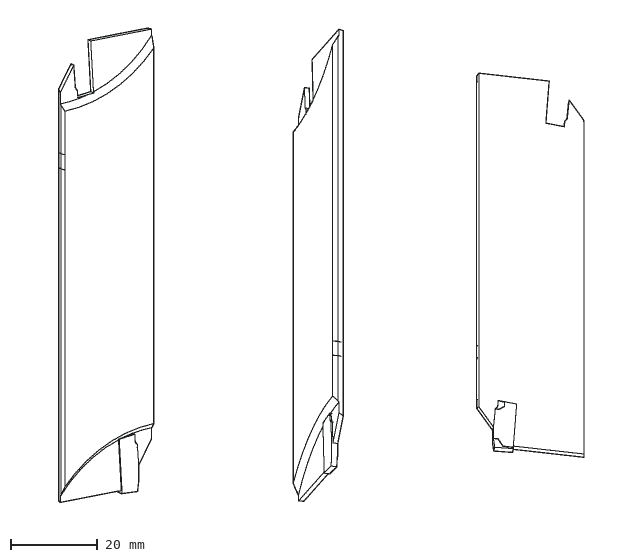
import cadquery as cq


thickness = 2.7
width = 25.2
length = 109.8
edge_height = 0.3
ridge_x = 1.4
half_width = width / 2
half_length = length / 2

seat_mouth = (4.2, 0)
seat_inner_corner = (3.4, 12.6)
seat_outer_corner = (7.7, 13.1)
seat_step_top = (7.9, 11.3)
seat_step_bottom = (8.4, 10.5)
finger_tip = (8.9, 5.0)
finger_slope_height = 11.1

tang_thickness = 1.2
clearance_radius = 32.1
clearance_depth = 13.7
clearance_rise = thickness - tang_thickness

recess_start = 25.7
recess_length = 3.7
recess_depth = 0.05
recess_x = 0.7

insert_thickness = 1.5
nose_inner = (4.1, -0.7)
nose_tip = (8.5, -0.9)
nose_outer = (8.9, 1.7)
facet_depth = 0.1
upper_facet_corners = [(7.5, 10.5), (6.3, 11.5), (6.3, 12.8)]
lower_facet_corners = [(7.7, 1.7), (6.6, -0.3), (4.1, -0.3)]


def from_end(point):
    """Turn a (Y, height above the lower end) pair into Y, Z."""
    y, height = point
    return (y, height - half_length)


def half_turn(point):
    """Carry a Y, Z point to the opposite end of the blade."""
    return (-point[0], -point[1])


def plate(points, depth):
    """Extrude a Y, Z outline from X = 0 towards +X."""
    return cq.Workplane("YZ").polyline(points).close().extrude(depth)


def turned(shape):
    return shape.rotate((0, 0, 0), (1, 0, 0), 180)


def v_edged_bar():
    flank = half_width - edge_height
    section = [
        (0, -flank), (ridge_x, -half_width), (thickness, -flank),
        (thickness, flank), (ridge_x, half_width), (0, flank),
    ]
    return (
        cq.Workplane("XY").workplane(offset=-half_length)
        .polyline(section).close().extrude(length)
    )


def blade_outline():
    lower_end = [
        from_end(p) for p in (
            seat_mouth, seat_inner_corner, seat_outer_corner, seat_step_top,
            seat_step_bottom, finger_tip, (half_width, finger_slope_height),
        )
    ]
    lower_corner = (-half_width, -half_length)
    lower = [lower_corner] + lower_end
    return plate(lower + [half_turn(p) for p in lower], thickness)


def clearance_cutter():
    """Cone frustum that thins the lower end to the tang thickness."""
    center_z = clearance_depth - clearance_radius - half_length
    cone = cq.Solid.makeCone(
        clearance_radius, clearance_radius + clearance_rise, clearance_rise,
        pnt=cq.Vector(tang_thickness, half_width, center_z), dir=cq.Vector(1, 0, 0),
    )
    return cq.Workplane(obj=cone)


def edge_recess_cutter():
    """Shallow V-shaped cutter for the -Y edge near the upper end."""
    flank = half_width - edge_height
    start_y = -(flank + edge_height * recess_x / ridge_x)
    section = [
        (recess_x, start_y), (ridge_x, -half_width + recess_depth),
        (thickness, -flank + recess_depth), (thickness, -half_width),
        (recess_x, -half_width),
    ]
    base = half_length - recess_start - recess_length
    return (
        cq.Workplane("XY").workplane(offset=base)
        .polyline(section).close().extrude(recess_length)
    )


def make_blade():
    blade = v_edged_bar().intersect(blade_outline())
    for cutter in (clearance_cutter(), edge_recess_cutter()):
        blade = blade.cut(cutter).cut(turned(cutter))
    return blade


def make_insert():
    outline = [
        nose_inner, seat_mouth, seat_inner_corner, seat_outer_corner,
        seat_step_top, seat_step_bottom, finger_tip, nose_outer, nose_tip,
    ]
    insert = plate([from_end(p) for p in outline], insert_thickness)
    upper_facet = upper_facet_corners + [seat_outer_corner, seat_step_top, seat_step_bottom]
    lower_facet = lower_facet_corners + [nose_inner, nose_tip, nose_outer]
    for facet in (upper_facet, lower_facet):
        insert = insert.cut(plate([from_end(p) for p in facet], facet_depth))
    return insert


blade = make_blade()
insert = make_insert()
result = cq.Compound.makeCompound([blade.val(), insert.val()])